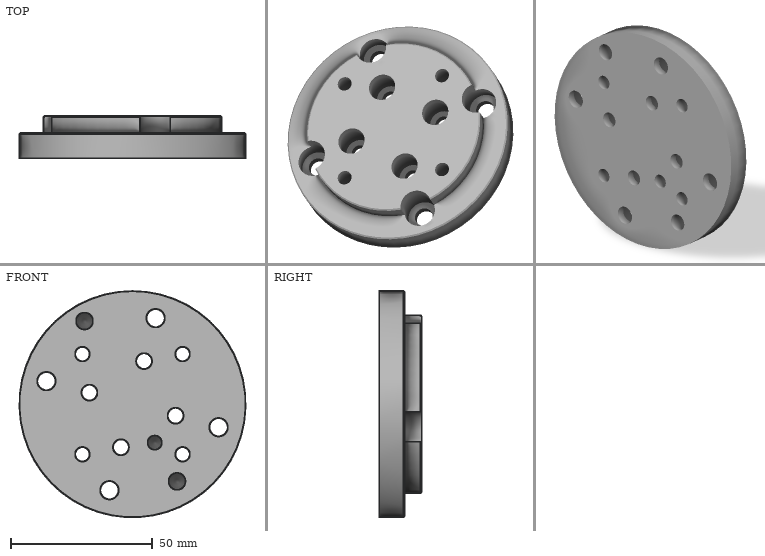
import cadquery as cq
import math

disc_diameter = 80.0
disc_thickness = 9.0
boss_diameter = 63.0
boss_height = 6.0
edge_chamfer = 0.5

rim_circle_radius = boss_diameter / 2
rim_hole_diameter = 6.4
rim_counterbore_diameter = 11.0
rim_counterbore_floor = 3.0
rim_hole_angle = 75.0

inner_circle_radius = 15.8
inner_hole_diameter = 5.5
inner_counterbore_diameter = 9.5
inner_counterbore_floor = rim_counterbore_floor

square_circle_radius = 25.0
square_hole_diameter = 5.0
square_hole_angle = 45.0

outer_dowel_radius = 33.9
inner_dowel_radius = rim_circle_radius
dowel_hole_diameter = 6.0
locator_circle_radius = 15.7
locator_hole_diameter = 5.0
dowel_angle = 120.0
blind_depth = 6.0
drill_tip_angle = 118.0

total_depth = disc_thickness + boss_height


def polar_point(radius, angle):
    """X and Z of a point on a circle, the angle measured from +X towards +Z."""
    return (
        radius * math.cos(math.radians(angle)),
        radius * math.sin(math.radians(angle)),
    )


def cylinder(diameter, start, length, center=(0, 0)):
    """Cylinder along +Y from y = start, centered at the given X and Z."""
    x, z = center
    solid = cq.Solid.makeCylinder(diameter / 2, length, cq.Vector(x, start, z), cq.Vector(0, 1, 0))
    return cq.Workplane(obj=solid)


def four_around(radius, first_angle):
    """Four points equally spaced on a circle."""
    return [polar_point(radius, first_angle + 90 * i) for i in range(4)]


def drilled_hole(diameter, center):
    """Blind hole from the front face, ending in a conical drill tip."""
    x, z = center
    tip_height = diameter / 2 / math.tan(math.radians(drill_tip_angle / 2))
    tip = cq.Solid.makeCone(
        diameter / 2, 0, tip_height, cq.Vector(x, blind_depth, z), cq.Vector(0, 1, 0)
    )
    return cylinder(diameter, 0, blind_depth, center).union(cq.Workplane(obj=tip))


def counterbored_hole(diameter, counterbore_diameter, floor, center):
    """Through hole widened from y = floor to the rear of the boss."""
    counterbore = cylinder(counterbore_diameter, floor, total_depth - floor, center)
    return cylinder(diameter, 0, total_depth, center).union(counterbore)


disc = cylinder(disc_diameter, 0, disc_thickness).faces(">Y").edges().chamfer(edge_chamfer)
boss = cylinder(boss_diameter, disc_thickness, boss_height).faces(">Y").edges().chamfer(edge_chamfer)
result = disc.union(boss)

for point in four_around(rim_circle_radius, rim_hole_angle):
    rim_hole = counterbored_hole(
        rim_hole_diameter, rim_counterbore_diameter, rim_counterbore_floor, point
    )
    result = result.cut(rim_hole)
for point in four_around(inner_circle_radius, rim_hole_angle):
    inner_hole = counterbored_hole(
        inner_hole_diameter, inner_counterbore_diameter, inner_counterbore_floor, point
    )
    result = result.cut(inner_hole)

for point in four_around(square_circle_radius, square_hole_angle):
    result = result.cut(cylinder(square_hole_diameter, 0, total_depth, point))

outer_dowel = polar_point(outer_dowel_radius, dowel_angle)
inner_dowel = polar_point(inner_dowel_radius, dowel_angle + 180)
locator = polar_point(locator_circle_radius, dowel_angle + 180)
result = result.cut(drilled_hole(dowel_hole_diameter, outer_dowel))
result = result.cut(drilled_hole(dowel_hole_diameter, inner_dowel))
result = result.cut(drilled_hole(locator_hole_diameter, locator))